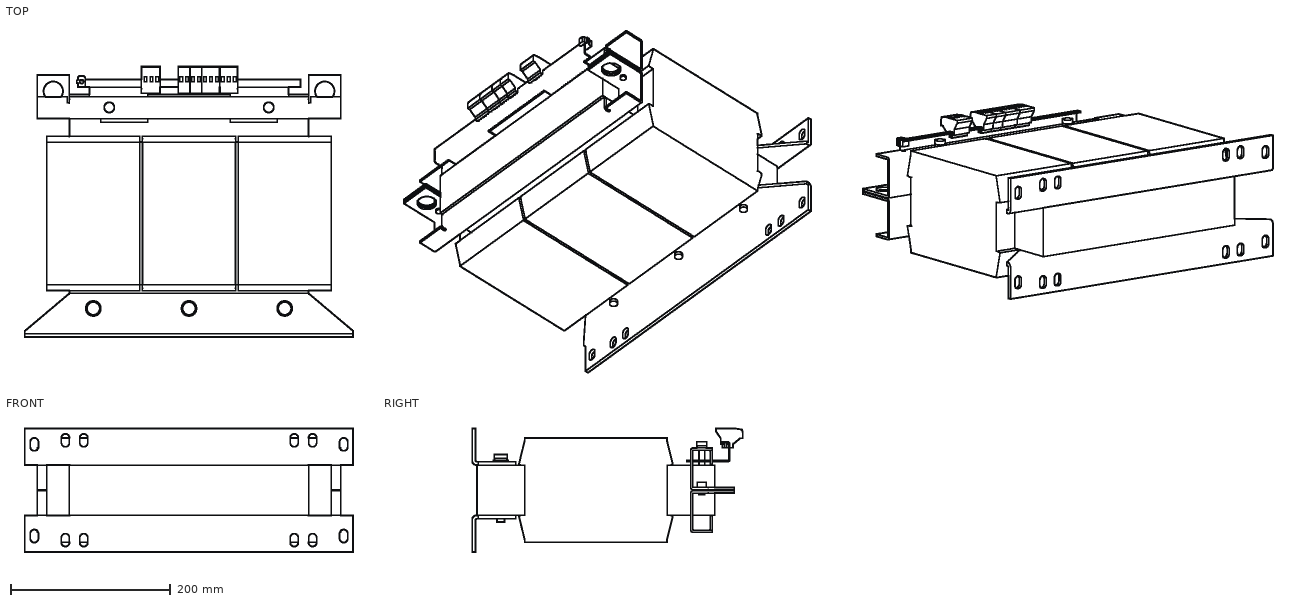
import cadquery as cq


LIMB_WIDTH = 60.0
LIMB_COUNT = 3
LIMB_PITCH = 2 * LIMB_WIDTH
CORE_WIDTH = 5 * LIMB_WIDTH
CORE_LENGTH = 298.5
CORE_HALF_WIDTH = CORE_WIDTH / 2
CORE_HALF_LENGTH = CORE_LENGTH / 2
STACK_HALF = 31.5
WINDOW_HALF = CORE_HALF_LENGTH - LIMB_WIDTH
YOKE_CENTRE = CORE_HALF_LENGTH - LIMB_WIDTH / 2

COIL_WIDTH = 117.0
COIL_HALF_HEIGHT = 65.5
COIL_OVERHANG = 7.5
COVER_SHEET = 3.0

FOOT_LENGTH = 412.0
FOOT_HALF = FOOT_LENGTH / 2
FOOT_SHEET = 4.5
FOOT_BEND_RADIUS = 5.5
FOOT_INNER_RADIUS = FOOT_BEND_RADIUS - FOOT_SHEET
FOOT_FRONT = -155.25
FOOT_REAR = -100.25
FOOT_TAPER_START = -147.5
FOOT_HEIGHT_HALF = 77.5
END_SLOT_X = 194.0
END_SLOT_Z = 57.5
END_SLOT_WIDTH = 10.0
INNER_SLOT_XS = (132.0, 155.0)
INNER_SLOT_Z = 62.5
INNER_SLOT_WIDTH = 10.0
SLOT_HEIGHT = 16.0

FOOT_BOLT_DIAMETER = 10.0
FOOT_BOLT_BOTTOM = -40.0
FOOT_WASHER_DIAMETER = 19.0
FOOT_WASHER_THICKNESS = 1.6
FOOT_LOCK_WASHER_DIAMETER = 16.0
FOOT_LOCK_WASHER_THICKNESS = 2.4
FOOT_HEAD_DIAMETER = 16.5
FOOT_HEAD_THICKNESS = 5.0

CHANNEL_HALF = 190.5
CHANNEL_SHEET = 3.0
CHANNEL_GAP_HALF = 0.5
CHANNEL_TOP = 53.0
CHANNEL_FRONT = 118.75
CHANNEL_REAR = 146.25
CHANNEL_BEND_RADIUS = 3.5
CHANNEL_INNER_RADIUS = CHANNEL_BEND_RADIUS - CHANNEL_SHEET
LIP_BEND_RADIUS = 4.0
LIP_CLEARANCE = 0.5
LIP_INNER_RADIUS = LIP_BEND_RADIUS - CHANNEL_SHEET
RELIEF_WIDTH = 3.0
RELIEF_DEPTH = 7.5
LUG_REAR = 173.75
LUG_CENTRE_X = (CORE_HALF_WIDTH + CHANNEL_HALF) / 2
LUG_HOLE_Y = 153.25
LUG_HOLE_DIAMETER = 24.0

CHANNEL_BOLT_Y = 132.9
CHANNEL_BOLT_X = 100.0
CHANNEL_BOLT_DIAMETER = 7.5
CHANNEL_WASHER_DIAMETER = 12.5
CHANNEL_WASHER_THICKNESS = 3.0
CHANNEL_HEAD_DIAMETER = 13.0
CHANNEL_HEAD_THICKNESS = 5.0
LUG_HEAD_DIAMETER = 11.0
LUG_HEAD_TOP = 10.0
LUG_BOLT_BOTTOM = -5.8

RAIL_SHEET = 1.5
RAIL_LEFT = -137.0
RAIL_RIGHT = 140.0
RAIL_BOTTOM = 36.0
RAIL_TOP = 61.0
RAIL_REAR = 168.2
RAIL_FRONT = 158.2
RAIL_BEND_RADIUS = 2.5
RAIL_TOP_BEND_RADIUS = 3.6
TAB_INNER_X = 51.5
TAB_OUTER_X = 125.0
TAB_TONGUE_OUTER_X = 110.5
TAB_FRONT = 114.05

STOP_LEFT = -139.5
STOP_RIGHT = -130.0
STOP_FRONT = 158.4
STOP_REAR = 172.6
STOP_BOTTOM = 53.0
STOP_TOP = 61.5
STOP_CHAMFER = 2.0
STOP_NUB_LENGTH = 1.5
STOP_NUB_WIDTH = 4.0
STOP_NUB_Y = 165.25
STOP_SCREW_DIAMETER = 5.0
STOP_SCREW_DEPTH = 1.0

POLE_PITCH = 7.5
TERMINAL_REAR = 184.5
TERMINAL_RIDGE_Y = 183.3
TERMINAL_SLOPE_TOP_Y = 181.0
TERMINAL_CROWN_Y = 175.25
TERMINAL_LATCH_FRONT = 156.5
TERMINAL_FRONT = 150.5
TERMINAL_TOP = FOOT_HEIGHT_HALF
TERMINAL_RIDGE_Z = 76.2
TERMINAL_NOSE_BOTTOM = 74.0
TERMINAL_BACK_TOP = 72.5
TERMINAL_SHOULDER = 65.0
TERMINAL_BOTTOM = 57.5
CLIP_FRONT = 161.0
CLIP_SLOT_FRONT = 163.8
CLIP_SLOT_REAR = 166.3
CLIP_REAR = 172.0
TERMINAL_GAP = 0.3
END_PLATE_WIDTH = 1.5
SINGLE_BLOCK_LEFT = -59.85
BLOCK_ROW_LEFT = -13.7
BLOCK_ROW_POLES = (2, 2, 3, 3)
WELL_WIDTH = 3.6
WELL_FRONT = 165.4
WELL_REAR = 171.2
WELL_DEPTH = 3.0


def box(x_range, y_range, z_range):
    """Box given by its lower and upper limits along each axis."""
    size = [high - low for low, high in (x_range, y_range, z_range)]
    corner = (x_range[0], y_range[0], z_range[0])
    return cq.Workplane("XY").box(*size, centered=False).translate(corner)


def disc(x, y, diameter, bottom, top):
    """Vertical cylinder between two heights."""
    return cq.Workplane("XY", origin=(x, y, bottom)).circle(diameter / 2).extrude(top - bottom)


def extrude_along_x(points, x_min, x_max):
    """Extrude a closed YZ outline between two X positions."""
    profile = cq.Workplane("YZ", origin=(x_min, 0, 0)).polyline(points).close()
    return profile.extrude(x_max - x_min)


def round_bend(body, y, z, radius):
    """Round the X-direction edge nearest to a YZ point."""
    middle_x = body.val().BoundingBox().center.x
    edge = body.edges("|X").edges(cq.selectors.NearestToPointSelector((middle_x, y, z)))
    return edge.fillet(radius)


def make_core_and_coils():
    """Three-limb core; each coil has a sloping cover sheet whose ends are cut square."""
    body = box(
        (-CORE_HALF_WIDTH, CORE_HALF_WIDTH),
        (-CORE_HALF_LENGTH, CORE_HALF_LENGTH),
        (-STACK_HALF, STACK_HALF),
    )
    for side in (-1, 1):
        window_x = side * LIMB_PITCH / 2
        window = cq.Workplane("XY").box(LIMB_WIDTH, 2 * WINDOW_HALF, 2 * STACK_HALF)
        body = body.cut(window.translate((window_x, 0, 0)))
    flank = WINDOW_HALF + COIL_OVERHANG
    edge_bottom = COIL_HALF_HEIGHT - COVER_SHEET
    cover_slope = COIL_OVERHANG / (edge_bottom - STACK_HALF)
    cover_end = STACK_HALF + COVER_SHEET * cover_slope
    upper_half = [
        (WINDOW_HALF, 0),
        (WINDOW_HALF, STACK_HALF),
        (flank - COVER_SHEET, STACK_HALF),
        (flank, cover_end),
        (WINDOW_HALF, edge_bottom),
        (WINDOW_HALF, COIL_HALF_HEIGHT),
        (-WINDOW_HALF, COIL_HALF_HEIGHT),
        (-WINDOW_HALF, edge_bottom),
        (-flank, cover_end),
        (COVER_SHEET - flank, STACK_HALF),
        (-WINDOW_HALF, STACK_HALF),
        (-WINDOW_HALF, 0),
    ]
    upper_coil = extrude_along_x(upper_half, -COIL_WIDTH / 2, COIL_WIDTH / 2)
    coil = upper_coil.union(upper_coil.mirror("XY"))
    for index in range(LIMB_COUNT):
        coil_x = (index - (LIMB_COUNT - 1) / 2) * LIMB_PITCH
        body = body.union(coil.translate((coil_x, 0, 0)))
    return body


def make_upper_foot():
    """Angle bracket: a trapezoidal flange on the core and a slotted upright plate."""
    flange_top = STACK_HALF + FOOT_SHEET
    plate_rear = FOOT_FRONT + FOOT_SHEET
    section = [
        (FOOT_FRONT, STACK_HALF),
        (FOOT_REAR, STACK_HALF),
        (FOOT_REAR, flange_top),
        (plate_rear, flange_top),
        (plate_rear, FOOT_HEIGHT_HALF),
        (FOOT_FRONT, FOOT_HEIGHT_HALF),
    ]
    foot = extrude_along_x(section, -FOOT_HALF, FOOT_HALF)
    foot = round_bend(foot, FOOT_FRONT, STACK_HALF, FOOT_BEND_RADIUS)
    foot = round_bend(foot, plate_rear, flange_top, FOOT_INNER_RADIUS)
    plan = [
        (-FOOT_HALF, FOOT_FRONT),
        (FOOT_HALF, FOOT_FRONT),
        (FOOT_HALF, FOOT_TAPER_START),
        (CORE_HALF_WIDTH, FOOT_REAR),
        (-CORE_HALF_WIDTH, FOOT_REAR),
        (-FOOT_HALF, FOOT_TAPER_START),
    ]
    foot = foot.intersect(cq.Workplane("XY").polyline(plan).close().extrude(FOOT_HEIGHT_HALF))

    end_points = [(side * END_SLOT_X, END_SLOT_Z) for side in (-1, 1)]
    inner_points = [(side * x, INNER_SLOT_Z) for side in (-1, 1) for x in INNER_SLOT_XS]
    for points, width in ((end_points, END_SLOT_WIDTH), (inner_points, INNER_SLOT_WIDTH)):
        face = cq.Workplane("XZ", origin=(0, plate_rear, 0)).pushPoints(points)
        foot = foot.cut(face.slot2D(SLOT_HEIGHT, width, 90).extrude(FOOT_SHEET))
    return foot


def make_foot_bolt(x):
    """Through bolt with a plain washer and a lock washer under its head."""
    washer_bottom = STACK_HALF + FOOT_SHEET
    washer_top = washer_bottom + FOOT_WASHER_THICKNESS
    lock_top = washer_top + FOOT_LOCK_WASHER_THICKNESS
    head_top = lock_top + FOOT_HEAD_THICKNESS
    y = -YOKE_CENTRE
    bolt = disc(x, y, FOOT_BOLT_DIAMETER, FOOT_BOLT_BOTTOM, head_top)
    bolt = bolt.union(disc(x, y, FOOT_WASHER_DIAMETER, washer_bottom, washer_top))
    bolt = bolt.union(disc(x, y, FOOT_LOCK_WASHER_DIAMETER, washer_top, lock_top))
    return bolt.union(disc(x, y, FOOT_HEAD_DIAMETER, lock_top, head_top))


def make_upper_channel():
    """Bent sheet: upright web, top flange with a lip onto the core, and two lifting lugs."""
    web_rear = CHANNEL_FRONT + CHANNEL_SHEET
    flange_bottom = CHANNEL_TOP - CHANNEL_SHEET
    lug_top = CHANNEL_GAP_HALF + CHANNEL_SHEET
    section = [
        (CHANNEL_FRONT, CHANNEL_GAP_HALF),
        (LUG_REAR, CHANNEL_GAP_HALF),
        (LUG_REAR, lug_top),
        (web_rear, lug_top),
        (web_rear, flange_bottom),
        (CHANNEL_REAR, flange_bottom),
        (CHANNEL_REAR, CHANNEL_TOP),
        (CHANNEL_FRONT, CHANNEL_TOP),
    ]
    channel = extrude_along_x(section, -CHANNEL_HALF, CHANNEL_HALF)
    for z in (CHANNEL_GAP_HALF, CHANNEL_TOP):
        channel = round_bend(channel, CHANNEL_FRONT, z, CHANNEL_BEND_RADIUS)
    for z in (lug_top, flange_bottom):
        channel = round_bend(channel, web_rear, z, CHANNEL_INNER_RADIUS)

    lip_span = CORE_HALF_WIDTH + RELIEF_WIDTH
    channel = channel.cut(
        box((-CORE_HALF_WIDTH, CORE_HALF_WIDTH), (web_rear + CHANNEL_INNER_RADIUS, LUG_REAR), (0, lug_top))
    )
    relief_front = CHANNEL_REAR - RELIEF_DEPTH
    channel = channel.cut(
        box((-lip_span, lip_span), (relief_front, CHANNEL_REAR), (flange_bottom, CHANNEL_TOP))
    )
    lip_front = CHANNEL_REAR - CHANNEL_SHEET
    lip_bottom = STACK_HALF + LIP_CLEARANCE
    lip_section = [
        (relief_front, CHANNEL_TOP),
        (CHANNEL_REAR, CHANNEL_TOP),
        (CHANNEL_REAR, lip_bottom),
        (lip_front, lip_bottom),
        (lip_front, flange_bottom),
        (relief_front, flange_bottom),
    ]
    lip = extrude_along_x(lip_section, -CORE_HALF_WIDTH, CORE_HALF_WIDTH)
    lip = round_bend(lip, CHANNEL_REAR, CHANNEL_TOP, LIP_BEND_RADIUS)
    lip = round_bend(lip, lip_front, flange_bottom, LIP_INNER_RADIUS)
    channel = channel.union(lip)
    for side in (-1, 1):
        hole = disc(side * LUG_CENTRE_X, LUG_HOLE_Y, LUG_HOLE_DIAMETER, 0, lug_top)
        channel = channel.cut(hole)
    return channel


def make_channel_bolts(side):
    """Bolt from the upper channel to the core, and the bolt joining the two lugs."""
    x = side * CHANNEL_BOLT_X
    y = CHANNEL_BOLT_Y
    washer_top = CHANNEL_TOP + CHANNEL_WASHER_THICKNESS
    head_top = washer_top + CHANNEL_HEAD_THICKNESS
    bolts = disc(x, y, CHANNEL_BOLT_DIAMETER, STACK_HALF, head_top)
    bolts = bolts.union(disc(x, y, CHANNEL_WASHER_DIAMETER, CHANNEL_TOP, washer_top))
    bolts = bolts.union(disc(x, y, CHANNEL_HEAD_DIAMETER, washer_top, head_top))
    lug_x = side * LUG_CENTRE_X
    lug_top = CHANNEL_GAP_HALF + CHANNEL_SHEET
    bolts = bolts.union(disc(lug_x, y, CHANNEL_BOLT_DIAMETER, LUG_BOLT_BOTTOM, LUG_HEAD_TOP))
    return bolts.union(disc(lug_x, y, LUG_HEAD_DIAMETER, lug_top, LUG_HEAD_TOP))


def make_rail():
    """C-shaped rail carried by two stepped tabs that pass under the channel flange."""
    base_top = RAIL_BOTTOM + RAIL_SHEET
    web_front = RAIL_REAR - RAIL_SHEET
    section = [
        (RAIL_FRONT, RAIL_BOTTOM),
        (RAIL_REAR, RAIL_BOTTOM),
        (RAIL_REAR, RAIL_TOP),
        (RAIL_FRONT, RAIL_TOP),
        (RAIL_FRONT, RAIL_TOP - RAIL_SHEET),
        (web_front, RAIL_TOP - RAIL_SHEET),
        (web_front, base_top),
        (RAIL_FRONT, base_top),
    ]
    rail = extrude_along_x(section, RAIL_LEFT, RAIL_RIGHT)
    rail = round_bend(rail, RAIL_REAR, RAIL_BOTTOM, RAIL_BEND_RADIUS)
    rail = round_bend(rail, web_front, base_top, RAIL_BEND_RADIUS - RAIL_SHEET)
    rail = round_bend(rail, RAIL_REAR, RAIL_TOP, RAIL_TOP_BEND_RADIUS)
    top_inner_radius = RAIL_TOP_BEND_RADIUS - RAIL_SHEET
    rail = round_bend(rail, web_front, RAIL_TOP - RAIL_SHEET, top_inner_radius)
    sheet = (RAIL_BOTTOM, base_top)
    pad = box((TAB_INNER_X, TAB_OUTER_X), (CHANNEL_REAR, RAIL_FRONT), sheet)
    tongue = box((TAB_INNER_X, TAB_TONGUE_OUTER_X), (TAB_FRONT, CHANNEL_REAR), sheet)
    tab = pad.union(tongue)
    return rail.union(tab).union(tab.mirror("YZ"))


def make_end_stop():
    """Clamp block at the left end of the rail."""
    stop = box((STOP_LEFT, STOP_RIGHT), (STOP_FRONT, STOP_REAR), (STOP_BOTTOM, STOP_TOP))
    stop = stop.edges("|Z and >Y").chamfer(STOP_CHAMFER)
    stop_centre_x = (STOP_LEFT + STOP_RIGHT) / 2
    screw_bottom = STOP_TOP - STOP_SCREW_DEPTH
    stop = stop.cut(disc(stop_centre_x, STOP_NUB_Y, STOP_SCREW_DIAMETER, screw_bottom, STOP_TOP))
    nub_y = (STOP_NUB_Y - STOP_NUB_WIDTH / 2, STOP_NUB_Y + STOP_NUB_WIDTH / 2)
    nub = box((STOP_LEFT - STOP_NUB_LENGTH, STOP_LEFT), nub_y, (STOP_BOTTOM, STOP_TOP))
    return stop.union(nub)


def make_terminal_block(left, pole_count, end_plate=0.0):
    """Terminal block with one wire well per pole; an end plate may widen it on the left."""
    outline = [
        (TERMINAL_REAR, TERMINAL_SHOULDER),
        (TERMINAL_REAR, TERMINAL_BACK_TOP),
        (TERMINAL_RIDGE_Y, TERMINAL_RIDGE_Z),
        (TERMINAL_CROWN_Y, TERMINAL_TOP),
        (TERMINAL_FRONT, TERMINAL_TOP),
        (TERMINAL_FRONT, TERMINAL_NOSE_BOTTOM),
        (TERMINAL_LATCH_FRONT, TERMINAL_SHOULDER),
        (TERMINAL_LATCH_FRONT, TERMINAL_BOTTOM),
        (CLIP_FRONT, TERMINAL_BOTTOM),
        (CLIP_FRONT, STOP_BOTTOM),
        (CLIP_SLOT_FRONT, STOP_BOTTOM),
        (CLIP_SLOT_FRONT, TERMINAL_BOTTOM),
        (CLIP_SLOT_REAR, TERMINAL_BOTTOM),
        (CLIP_SLOT_REAR, STOP_BOTTOM),
        (CLIP_REAR, STOP_BOTTOM),
        (CLIP_REAR, TERMINAL_BOTTOM),
        (TERMINAL_SLOPE_TOP_Y, TERMINAL_SHOULDER),
    ]
    right = left + end_plate + pole_count * POLE_PITCH - TERMINAL_GAP
    block = extrude_along_x(outline, left, right)
    for pole in range(pole_count):
        well_x = left + end_plate + (pole + 0.5) * POLE_PITCH
        well = box(
            (well_x - WELL_WIDTH / 2, well_x + WELL_WIDTH / 2),
            (WELL_FRONT, WELL_REAR),
            (TERMINAL_TOP - WELL_DEPTH, TERMINAL_TOP),
        )
        block = block.cut(well)
    return block


def make_terminals():
    """A separate three-pole block and a row of blocks side by side."""
    terminals = make_terminal_block(SINGLE_BLOCK_LEFT, LIMB_COUNT, END_PLATE_WIDTH)
    left = BLOCK_ROW_LEFT
    for pole_count in BLOCK_ROW_POLES:
        terminals = terminals.union(make_terminal_block(left, pole_count))
        left += pole_count * POLE_PITCH
    return terminals


result = make_core_and_coils()

for mirrored_part in (make_upper_foot(), make_upper_channel()):
    result = result.union(mirrored_part).union(mirrored_part.mirror("XY"))

for limb in range(LIMB_COUNT):
    result = result.union(make_foot_bolt((limb - (LIMB_COUNT - 1) / 2) * LIMB_PITCH))

for bolt_side in (-1, 1):
    result = result.union(make_channel_bolts(bolt_side))

result = result.union(make_rail())
result = result.union(make_end_stop())
result = result.union(make_terminals())